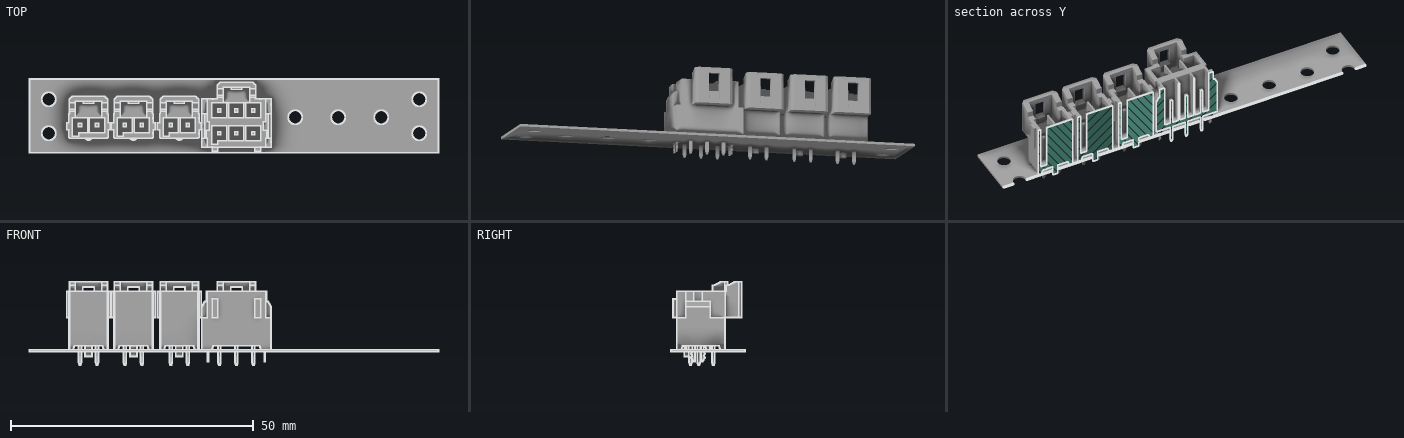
import cadquery as cq

strip_length = 84.25
strip_width = 15.25
strip_thickness = 0.5
strip_hole_diameter = 2.85
end_hole_margin = 4.0
end_hole_x = strip_length / 2 - end_hole_margin
end_hole_y_spacing = 7.0
end_hole_y_centre = -0.1
middle_hole_pitch = 8.85
middle_hole_first_x = 12.6
middle_hole_y = -0.3
middle_hole_count = 3

pin_hole_diameter = 1.05
nail_hole_diameter = 1.35
peg_hole_diameter = 1.6

body_height = 12.0
hood_top = 14.0
hood_bottom = 6.55
foot_height = 0.75
recess_flare = 0.25

pin_pitch = 3.5
pin_size = 0.64
pin_top = 8.0
pin_bottom = -3.2
pin_tip_length = 0.6
pin_tip_size = 0.3

cell_size = 3.1
cell_floor = 2.0
key_width = 1.25
key_depth = 0.75

rib_bottom = hood_bottom

hood_width = 7.9
hood_depth = 3.45
hood_chamfer = 0.65
hood_rear_wall = 1.1
hood_side_wall = 1.25
hood_floor_thickness = 1.0
hood_floor = hood_bottom + hood_floor_thickness
hood_cavity_width = hood_width - 2 * hood_side_wall
hood_front_lap = 0.3
hood_shoulder_z = 13.25
hood_slope_rear = 1.35
hood_slope_front = 2.75
window_width = 2.3
window_top = 12.85
catch_width = 2.1
catch_depth = 0.4
catch_height = 1.5

small_connector_x = (-29.95, -20.7, -11.25)
small_width = 8.15
small_rear_y = 0.6
small_front_y = -4.65
small_corner_chamfer = 0.25
small_row_y = -1.9
small_rib_width = 1.5
small_rib_depth = 0.45
small_rib_y = -2.15
small_foot_length = 1.2
peg_diameter = 1.5
peg_y = -4.15
peg_bottom = -1.45

large_connector_x = 0.5
large_base_width = 14.3
large_upper_width = 12.0
large_rear_y = 3.5
large_front_y = -6.45
large_rear_row_y = 1.1
large_front_row_y = -3.6
shelf_z = rib_bottom
wing_rear_y = 0.45
wing_front_y = -4.6
wing_top = 9.9
wing_slope_run = 0.6
wing_slope_drop = 1.1
nail_y = -2.05
nail_slot_width = 1.75
nail_slot_depth = 0.45
side_rib_depth = 0.25
side_rib_rear_y = nail_y - nail_slot_width / 2
front_rib_width = 1.2
front_rib_depth = 0.8
front_rib_top = 10.45
front_rib_x = (-4.4, 4.4)
large_foot_length_x = 2.4
large_foot_length_y = 1.25

nail_thickness = 0.25
nail_x = 5.85
nail_prong_offset = 0.9
nail_prong_width = 0.65
nail_bottom = -2.5
nail_embedded_length = 1.0
nail_root = foot_height + nail_embedded_length
nail_barb = 0.25
nail_barb_tips = (-0.85, -1.65)
nail_barb_half_height = 0.35


def block(x0, x1, y0, y1, z0, z1):
    """Axis-aligned box between two opposite corners."""
    return cq.Workplane("XY").box(x1 - x0, y1 - y0, z1 - z0, centered=False).translate((x0, y0, z0))


def centred_block(width, y0, y1, z0, z1):
    """Box that is symmetrical about X = 0."""
    return block(-width / 2, width / 2, y0, y1, z0, z1)


def pin():
    """Square contact pin with a tapered lower tip, on the Z axis."""
    shank_bottom = pin_bottom + pin_tip_length
    shank = cq.Workplane("XY").workplane(offset=shank_bottom).rect(pin_size, pin_size)
    shank = shank.extrude(pin_top - shank_bottom)
    tip = (
        cq.Workplane("XY").workplane(offset=pin_bottom).rect(pin_tip_size, pin_tip_size)
        .workplane(offset=pin_tip_length).rect(pin_size, pin_size).loft(ruled=True)
    )
    return shank.union(tip)


def row_positions(count):
    """X places of a row of contacts, centred on X = 0."""
    return [(i - (count - 1) / 2) * pin_pitch for i in range(count)]


def cell(x, y):
    """Deep square pocket around one contact."""
    half = cell_size / 2
    return block(x - half, x + half, y - half, y + half, cell_floor, body_height)


def key_notch(first_x, y):
    """Notch in the front edge of the first cell of a row."""
    left = first_x - cell_size / 2
    front = y - cell_size / 2
    return block(left, left + key_width, front - key_depth, y, cell_floor, body_height)


def foot_recess(length, y0, y1, along):
    """Flared clearance cut under a body; it runs through along X or Y."""
    if along == "Y":
        half = length / 2
        profile = [(-half - recess_flare, 0), (half + recess_flare, 0),
                   (half, foot_height), (-half, foot_height)]
        return cq.Workplane("XZ").polyline(profile).close().extrude(-(y1 - y0)).translate((0, y0, 0))
    profile = [(y0 - recess_flare, 0), (y1 + recess_flare, 0), (y1, foot_height), (y0, foot_height)]
    return cq.Workplane("YZ").polyline(profile).close().extrude(length / 2, both=True)


def hood(body_rear_y):
    """Latch hood behind a body: a U-shaped wall whose sides slope down to the body."""
    rear = body_rear_y + hood_depth
    front = body_rear_y - hood_front_lap
    slope_start = rear - hood_slope_rear
    slope_end = rear - hood_slope_front
    lip = body_rear_y + hood_front_lap
    profile = [
        (rear, hood_bottom), (rear, hood_top), (slope_start, hood_top), (slope_end, hood_shoulder_z),
        (lip, hood_shoulder_z), (lip, body_height), (front, body_height), (front, hood_bottom),
    ]
    shape = cq.Workplane("YZ").polyline(profile).close().extrude(hood_width / 2, both=True)
    return shape.edges("|Z and >Y").chamfer(hood_chamfer)


def hood_cavity(body_rear_y, cell_rear_y):
    """Latch space open to the top, its window in the rear wall, less the catch on that wall."""
    rear = body_rear_y + hood_depth
    inner = rear - hood_rear_wall
    space = centred_block(hood_cavity_width, cell_rear_y, inner, hood_floor, hood_top)
    window = centred_block(window_width, inner, rear, hood_floor, window_top)
    catch = centred_block(catch_width, inner - catch_depth, rear, hood_floor, hood_floor + catch_height)
    return space.union(window).cut(catch)


def small_connector():
    """Two-way connector with its contacts and locating peg, centred on X = 0."""
    body = centred_block(small_width, small_front_y, small_rear_y, 0, body_height)
    body = body.edges("|Z").chamfer(small_corner_chamfer)
    rib_span = small_width + 2 * small_rib_depth
    rib_front = small_rib_y - small_rib_width / 2
    rib_rear = rib_front + small_rib_width
    body = body.union(centred_block(rib_span, rib_front, rib_rear, rib_bottom, body_height))
    body = body.union(hood(small_rear_y))
    columns = row_positions(2)
    for x in columns:
        body = body.cut(cell(x, small_row_y))
    body = body.cut(key_notch(columns[0], small_row_y))
    body = body.cut(hood_cavity(small_rear_y, small_row_y + cell_size / 2))
    body = body.cut(foot_recess(small_width - 2 * small_foot_length, small_front_y, small_rear_y, "Y"))
    body = body.cut(foot_recess(small_width, small_front_y + small_foot_length,
                                small_rear_y - small_foot_length, "X"))
    for x in columns:
        body = body.union(pin().translate((x, small_row_y, 0)))
    peg = cq.Workplane("XY").workplane(offset=peg_bottom).center(0, peg_y).circle(peg_diameter / 2)
    return body.union(peg.extrude(foot_height - peg_bottom))


def nail_prong(side):
    """Barbed prong at the side of a fitting nail given by its Y direction, +1 or -1."""
    inner = nail_prong_offset - nail_prong_width / 2
    outer = nail_prong_offset + nail_prong_width / 2
    points = [(inner, nail_root), (outer, nail_root)]
    for tip_z in nail_barb_tips:
        points += [(outer, tip_z + nail_barb_half_height), (outer + nail_barb, tip_z),
                   (outer, tip_z - nail_barb_half_height)]
    points += [(outer - nail_barb, nail_bottom), (inner, nail_bottom)]
    outline = [(nail_y + side * y, z) for y, z in points]
    return cq.Workplane("YZ").polyline(outline).close().extrude(nail_thickness / 2, both=True)


def large_wing(side):
    """Sloped wing standing on the shelf at one side of the upper body."""
    inner = large_upper_width / 2 - nail_slot_depth
    outer = large_base_width / 2
    points = [(inner, shelf_z), (outer, shelf_z), (outer, wing_top - wing_slope_drop),
              (outer - wing_slope_run, wing_top), (inner, wing_top)]
    outline = [(side * x, z) for x, z in points]
    wing = cq.Workplane("XZ").polyline(outline).close().extrude(wing_rear_y - wing_front_y)
    return wing.translate((0, wing_rear_y, 0))


def large_connector():
    """Six-way connector with contacts and fitting nails, centred on X = 0."""
    body = centred_block(large_base_width, large_front_y, large_rear_y, 0, shelf_z)
    body = body.union(centred_block(large_upper_width, large_front_y, large_rear_y, shelf_z, body_height))
    side_rib = centred_block(large_upper_width + 2 * side_rib_depth, wing_front_y, side_rib_rear_y,
                             shelf_z, body_height)
    body = body.union(side_rib)
    slot_floor = large_upper_width / 2 - nail_slot_depth
    slot_front = nail_y - nail_slot_width / 2
    slot_rear = nail_y + nail_slot_width / 2
    for side in (-1, 1):
        slot = block(slot_floor, large_base_width / 2, slot_front, slot_rear, shelf_z, body_height)
        body = body.cut(slot if side > 0 else slot.mirror("YZ"))
        body = body.union(large_wing(side))
    for x in front_rib_x:
        front_rib = centred_block(front_rib_width, large_front_y - front_rib_depth, large_front_y,
                                  rib_bottom, front_rib_top)
        body = body.union(front_rib.translate((x, 0, 0)))
    body = body.union(hood(large_rear_y))
    columns = row_positions(3)
    rows = (large_rear_row_y, large_front_row_y)
    for y in rows:
        for x in columns:
            body = body.cut(cell(x, y))
    body = body.cut(key_notch(columns[0], large_front_row_y))
    body = body.cut(hood_cavity(large_rear_y, large_rear_row_y + cell_size / 2))
    body = body.cut(foot_recess(large_base_width - 2 * large_foot_length_x, large_front_y, large_rear_y, "Y"))
    body = body.cut(foot_recess(large_base_width, large_front_y + large_foot_length_y,
                                large_rear_y - large_foot_length_y, "X"))
    for y in rows:
        for x in columns:
            body = body.union(pin().translate((x, y, 0)))
    for x in (-nail_x, nail_x):
        for side in (-1, 1):
            body = body.union(nail_prong(side).translate((x, 0, 0)))
    return body


def round_holes(diameter, points):
    """Cylinders through the strip at the given places."""
    drill = cq.Workplane("XY").workplane(offset=-strip_thickness).pushPoints(points)
    return drill.circle(diameter / 2).extrude(strip_thickness)


def base_strip():
    """Thin strip with its mounting holes and the holes for pins, pegs and nails."""
    strip = block(-strip_length / 2, strip_length / 2, -strip_width / 2, strip_width / 2, -strip_thickness, 0)
    end_holes = [
        (side_x * end_hole_x, end_hole_y_centre + side_y * end_hole_y_spacing / 2)
        for side_x in (-1, 1) for side_y in (-1, 1)
    ]
    middle_holes = [
        (middle_hole_first_x + i * middle_hole_pitch, middle_hole_y) for i in range(middle_hole_count)
    ]
    pin_holes = [(cx + x, small_row_y) for cx in small_connector_x for x in row_positions(2)]
    pin_holes += [(large_connector_x + x, y) for x in row_positions(3)
                  for y in (large_rear_row_y, large_front_row_y)]
    peg_holes = [(cx, peg_y) for cx in small_connector_x]
    nail_holes = [
        (large_connector_x + side_x * nail_x, nail_y + side_y * nail_prong_offset)
        for side_x in (-1, 1) for side_y in (-1, 1)
    ]
    strip = strip.cut(round_holes(strip_hole_diameter, end_holes + middle_holes))
    strip = strip.cut(round_holes(pin_hole_diameter, pin_holes))
    strip = strip.cut(round_holes(peg_hole_diameter, peg_holes))
    return strip.cut(round_holes(nail_hole_diameter, nail_holes))


strip = base_strip()
small_connectors = [small_connector().translate((x, 0, 0)) for x in small_connector_x]
six_way = large_connector().translate((large_connector_x, 0, 0))

result = cq.Compound.makeCompound([strip.val(), *[c.val() for c in small_connectors], six_way.val()])